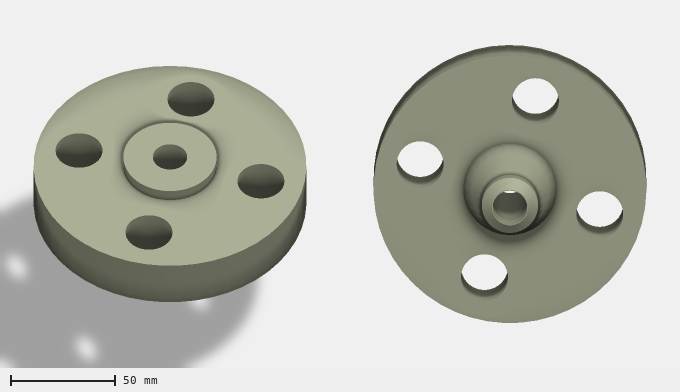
import cadquery as cq
import math

flange_diameter = 130.0
flange_thickness = 25.5
face_diameter = 44.5
face_height = 6.2

hub_diameter = 44.5
hub_length = 29.5
stub_diameter = 26.8
stub_length = 9.8
bevel_tip_diameter = 17.3
bevel_length = 5.2

bore_diameter = 16.4
bolt_hole_diameter = 22.4
bolt_circle_diameter = 89.0
bolt_count = 4
first_bolt_angle = 45.0

bevel_top = bevel_length
stub_top = bevel_top + stub_length
flange_bottom = stub_top + hub_length
flange_top = flange_bottom + flange_thickness
face_top = flange_top + face_height


def revolved_body():
    """Half section turned about Z: solid flange, hub, stub and bevel."""
    half_section = [
        (0, 0),
        (bevel_tip_diameter / 2, 0),
        (stub_diameter / 2, bevel_top),
        (stub_diameter / 2, stub_top),
        (hub_diameter / 2, flange_bottom),
        (flange_diameter / 2, flange_bottom),
        (flange_diameter / 2, flange_top),
        (face_diameter / 2, flange_top),
        (face_diameter / 2, face_top),
        (0, face_top),
    ]
    profile = cq.Workplane("XZ").polyline(half_section).close()
    return profile.revolve(360, (0, 0, 0), (0, 1, 0))


def bore():
    return cq.Workplane("XY").circle(bore_diameter / 2).extrude(face_top)


def bolt_holes():
    """Through holes spaced evenly on the bolt circle."""
    radius = bolt_circle_diameter / 2
    angles = [math.radians(first_bolt_angle + i * 360 / bolt_count) for i in range(bolt_count)]
    centers = [(radius * math.cos(a), radius * math.sin(a)) for a in angles]
    plane = cq.Workplane("XY").workplane(offset=flange_bottom)
    return plane.pushPoints(centers).circle(bolt_hole_diameter / 2).extrude(flange_thickness)


result = revolved_body().cut(bore()).cut(bolt_holes())